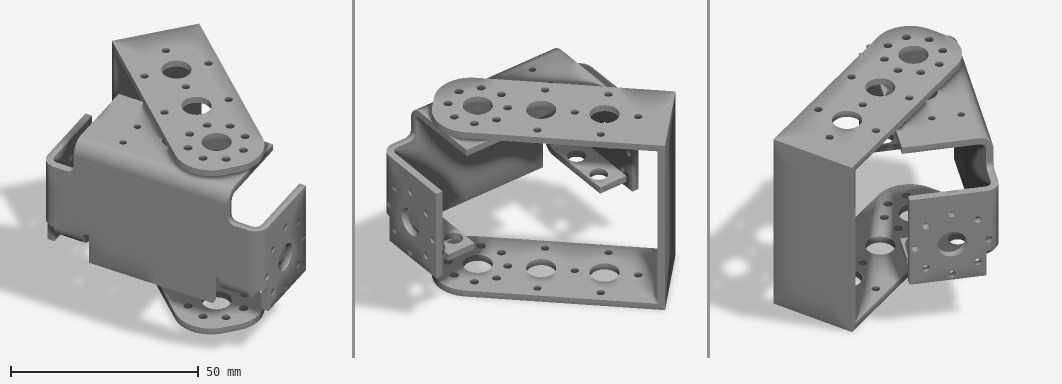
import cadquery as cq
import math


RING_HOLES = 8
HORN_BORE = 8.0

YOKE_HEIGHT = 54.5
YOKE_WIDTH = 24.45
YOKE_REACH = 51.55
YOKE_THICKNESS = 1.95
YOKE_NOSE = 12.0
YOKE_CORNER_RADIUS = 9.95
YOKE_BORES = 3
BORE_PITCH = 17.0
YOKE_RING_HOLE = 2.4
YOKE_RING_RADIUS = 8.0
YOKE_SIDE_HOLE = 2.3
SIDE_HOLE_RADIUS = 9.0

BRACKET_ANGLE = 43.0
SHEET = 2.0
BEND_RADIUS = 4.0
BRACKET_DEPTH = 24.9
WALL_FACE_Y = -14.5
BRACKET_CENTER_X = -12.0

PLATE_TOP = 51.0
PLATE_LENGTH = 46.8
PLATE_HOLE = 2.0
PLATE_HOLE_PITCH = 8.0
PLATE_END_HOLE_X = 7.3
NOTCH_RADIUS = 2.0

FLANGE_SPAN = 66.95
FLANGE_TOP = 40.9
FLANGE_BOTTOM = 12.9
FLANGE_BORE_Z = 24.7
FLANGE_BORE_Y = -1.1
FLANGE_RING_RADIUS = 9.95
FLANGE_HOLE = 2.0

TAB_UNDERSIDE = 17.0
TAB_WIDTH = 8.7
TAB_HOLE = 5.0
TAB_HOLE_X = 24.0
TAB_HOLE_MIDDLE_Y = 0.45
TAB_HOLE_PITCH = 9.95

TONGUE_LENGTH = 37.4
SLOT_TOP = 21.9

WALL_LENGTH = FLANGE_SPAN - 2 * BEND_RADIUS
WALL_TOP = PLATE_TOP - BEND_RADIUS
WALL_BOTTOM = TAB_UNDERSIDE + BEND_RADIUS
TAB_CENTER_X = (WALL_LENGTH - TAB_WIDTH) / 2
TAB_INNER_X = WALL_LENGTH / 2 - TAB_WIDTH
DRILL_LENGTH = 4 * SHEET


def bore(center, axis, diameter, length):
    """Cylinder for cutting a hole, centred on a point."""
    direction = cq.Vector(*axis)
    start = cq.Vector(*center) - direction * (length / 2)
    return cq.Workplane(obj=cq.Solid.makeCylinder(diameter / 2, length, start, direction))


def circle_points(radius, count):
    """Points spread evenly on a circle about the origin."""
    step = 2 * math.pi / count
    return [(radius * math.cos(i * step), radius * math.sin(i * step)) for i in range(count)]


def leg_hole(x, y, diameter):
    """Cutter that drills both legs of the yoke at once."""
    return bore((x, y, YOKE_HEIGHT / 2), (0, 0, 1), diameter, 2 * YOKE_HEIGHT)


def make_yoke():
    length = YOKE_REACH + YOKE_NOSE
    strip = (
        cq.Workplane("XY")
        .box(length, YOKE_WIDTH, YOKE_HEIGHT, centered=(False, True, False))
        .edges("|Z and >X")
        .fillet(YOKE_CORNER_RADIUS)
    )
    opening = (
        cq.Workplane("XY")
        .box(length, YOKE_WIDTH, YOKE_HEIGHT - 2 * YOKE_THICKNESS, centered=(False, True, False))
        .translate((YOKE_THICKNESS, 0, YOKE_THICKNESS))
    )
    yoke = strip.cut(opening).translate((-YOKE_REACH, 0, 0))
    bore_centers = [-i * BORE_PITCH for i in range(YOKE_BORES)]
    for x in bore_centers:
        yoke = yoke.cut(leg_hole(x, 0, HORN_BORE))
    for x, y in circle_points(YOKE_RING_RADIUS, RING_HOLES):
        yoke = yoke.cut(leg_hole(x, y, YOKE_RING_HOLE))
    for x in bore_centers[1:]:
        for dx, dy in [(0, SIDE_HOLE_RADIUS), (-SIDE_HOLE_RADIUS, 0), (0, -SIDE_HOLE_RADIUS)]:
            yoke = yoke.cut(leg_hole(x + dx, dy, YOKE_SIDE_HOLE))
    return yoke


def folded_leaf(fold_start, outward, width):
    """Leaf folded back from the wall: a quarter bend, then a flat reaching the bracket's back edge.

    fold_start is the middle of the fold line on the wall's outer face, and outward is the
    direction in which the wall runs into the bend.
    """
    along = cq.Vector(*outward)
    plane = cq.Plane(origin=fold_start, xDir=along, normal=along.cross(cq.Vector(0, 1, 0)))
    inner_radius = BEND_RADIUS - SHEET
    diagonal = math.sqrt(0.5)
    return (
        cq.Workplane(plane)
        .moveTo(0, 0)
        .threePointArc(
            (BEND_RADIUS * diagonal, BEND_RADIUS * (1 - diagonal)),
            (BEND_RADIUS, BEND_RADIUS),
        )
        .lineTo(BEND_RADIUS, BRACKET_DEPTH)
        .lineTo(inner_radius, BRACKET_DEPTH)
        .lineTo(inner_radius, BEND_RADIUS)
        .threePointArc(
            (inner_radius * diagonal, BEND_RADIUS - inner_radius * diagonal),
            (0, SHEET),
        )
        .close()
        .extrude(width / 2, both=True)
    )


def wall_block(length, bottom, top):
    """Flat piece of the wall, centred along X."""
    return (
        cq.Workplane("XY")
        .box(length, SHEET, top - bottom, centered=(True, False, False))
        .translate((0, WALL_FACE_Y, bottom))
    )


def make_wall():
    wall = wall_block(WALL_LENGTH, WALL_BOTTOM, FLANGE_TOP)
    wall = wall.union(wall_block(PLATE_LENGTH, WALL_BOTTOM, WALL_TOP))
    wall = wall.cut(wall_block(2 * TAB_INNER_X, WALL_BOTTOM, SLOT_TOP))
    wall = wall.union(wall_block(TONGUE_LENGTH, FLANGE_BOTTOM, WALL_TOP))
    for side in (-1, 1):
        notch_corner = (side * PLATE_LENGTH / 2, WALL_FACE_Y + SHEET / 2, FLANGE_TOP)
        corner_edge = cq.selectors.NearestToPointSelector(notch_corner)
        wall = wall.edges(corner_edge).fillet(NOTCH_RADIUS)
    return wall


def make_plate():
    plate = folded_leaf((0, WALL_FACE_Y, WALL_TOP), (0, 0, 1), PLATE_LENGTH)
    hinge_x = -BRACKET_CENTER_X
    small_holes = [(side * hinge_x, y) for side in (-1, 1) for y in (-PLATE_HOLE_PITCH, 0, PLATE_HOLE_PITCH)]
    small_holes.append((hinge_x + PLATE_END_HOLE_X, 0))
    for x, y in small_holes:
        plate = plate.cut(bore((x, y, PLATE_TOP), (0, 0, 1), PLATE_HOLE, DRILL_LENGTH))
    return plate.cut(bore((0, 0, PLATE_TOP), (0, 0, 1), HORN_BORE, DRILL_LENGTH))


def make_flange(side):
    """Side leaf; below the wall only its flat part goes on down."""
    middle_z = (FLANGE_TOP + FLANGE_BOTTOM) / 2
    fold_start = (side * WALL_LENGTH / 2, WALL_FACE_Y, middle_z)
    flange = folded_leaf(fold_start, (side, 0, 0), FLANGE_TOP - FLANGE_BOTTOM)
    bend_relief = (
        cq.Workplane("XY")
        .box(FLANGE_SPAN, BEND_RADIUS, WALL_BOTTOM - FLANGE_BOTTOM, centered=(True, False, False))
        .translate((0, WALL_FACE_Y, FLANGE_BOTTOM))
    )
    flange = flange.cut(bend_relief)
    face_x = side * FLANGE_SPAN / 2
    flange = flange.cut(bore((face_x, FLANGE_BORE_Y, FLANGE_BORE_Z), (1, 0, 0), HORN_BORE, DRILL_LENGTH))
    for dy, dz in circle_points(FLANGE_RING_RADIUS, RING_HOLES):
        center = (face_x, FLANGE_BORE_Y + dy, FLANGE_BORE_Z + dz)
        flange = flange.cut(bore(center, (1, 0, 0), FLANGE_HOLE, DRILL_LENGTH))
    return flange


def make_tab(side):
    tab = folded_leaf((side * TAB_CENTER_X, WALL_FACE_Y, WALL_BOTTOM), (0, 0, -1), TAB_WIDTH)
    for end in (-1, 1):
        y = TAB_HOLE_MIDDLE_Y + end * TAB_HOLE_PITCH / 2
        tab = tab.cut(bore((side * TAB_HOLE_X, y, TAB_UNDERSIDE), (0, 0, 1), TAB_HOLE, DRILL_LENGTH))
    return tab


def make_bracket():
    bracket = make_wall().union(make_plate())
    for side in (-1, 1):
        bracket = bracket.union(make_flange(side)).union(make_tab(side))
    bracket = bracket.translate((BRACKET_CENTER_X, 0, 0))
    return bracket.rotate((0, 0, 0), (0, 0, 1), BRACKET_ANGLE)


yoke = make_yoke()
servo_bracket = make_bracket()
result = cq.Compound.makeCompound([yoke.val(), servo_bracket.val()])